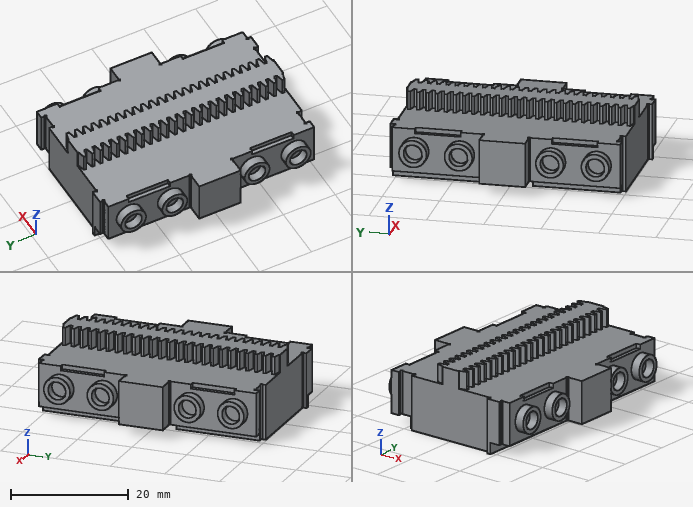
import cadquery as cq

LOWER_PLATE_HEIGHT = 2.1
BODY_HEIGHT = 7.85
RACK_HEIGHT = 3.2
BODY_TOP = LOWER_PLATE_HEIGHT + BODY_HEIGHT
TOTAL_HEIGHT = BODY_TOP + RACK_HEIGHT

BODY_WIDTH = 25.6
BODY_LENGTH = 39.75
LOWER_PLATE_WIDTH = 18.4
CROSS_SLOT_WIDTH = 7.7

SIDE_BLOCK_SPAN = 31.8
SIDE_BLOCK_WIDTH = 8.0

COUPLING_OFFSET = 9.8
TAB_WIDTH = 2.65
TAB_DEPTH = 0.7
SOCKET_WIDTH = 2.8
SOCKET_DEPTH = 0.8
RELIEF_RADIUS = 0.2

STUD_DIAMETER = 4.8
STUD_BORE = 3.2
STUD_LENGTH = 1.7
STUD_PITCH = 7.95
STUD_STEPS = (-2, -1, 1, 2)
STUD_Z = BODY_TOP - BODY_HEIGHT / 2

EDGE_NOTCH_SIZE = 0.8
EDGE_NOTCH_Y = 1.5 * STUD_PITCH

TOOTH_COUNT = 25
TOOTH_PITCH = 1.595
TOOTH_TIP_WIDTH = 0.47
TOOTH_ROOT_WIDTH = TOOTH_PITCH - TOOTH_TIP_WIDTH
RACK_TIP_X = 3.15
RACK_ROOT_X = 1.75

SIDES = (-1, 1)


def block(x_range, y_range, z_range):
    """Axis-aligned block between the given limits."""
    size = [high - low for low, high in (x_range, y_range, z_range)]
    corner = (x_range[0], y_range[0], z_range[0])
    return cq.Workplane("XY").box(*size, centered=False).translate(corner)


def centred_block(width, length, z_low, z_high, center=(0, 0)):
    """Block centred on a point in X and Y, between two heights."""
    height = z_high - z_low
    plane = cq.Workplane("XY").workplane(offset=z_low)
    return plane.center(*center).rect(width, length).extrude(height)


def corner_reliefs(points):
    """Full-height round cutters that relieve inside corners."""
    return cq.Workplane("XY").pushPoints(points).circle(RELIEF_RADIUS).extrude(BODY_TOP)


def make_body():
    """Rectangular body with a block on the middle of each long side."""
    core = centred_block(BODY_WIDTH, BODY_LENGTH, 0, BODY_TOP)
    side_blocks = centred_block(SIDE_BLOCK_SPAN, SIDE_BLOCK_WIDTH, 0, BODY_TOP)
    corners = [
        (x_side * BODY_WIDTH / 2, y_side * SIDE_BLOCK_WIDTH / 2)
        for x_side in SIDES
        for y_side in SIDES
    ]
    return core.union(side_blocks).cut(corner_reliefs(corners))


def add_couplings(body):
    """A tab and a socket on each end, placed point-symmetrically."""
    for end in SIDES:
        end_y = end * BODY_LENGTH / 2

        tab_x = -end * COUPLING_OFFSET
        tab = centred_block(TAB_WIDTH, 2 * TAB_DEPTH, 0, BODY_TOP, (tab_x, end_y))
        tab_corners = [(tab_x + side * TAB_WIDTH / 2, end_y) for side in SIDES]

        socket_x = end * COUPLING_OFFSET
        socket = centred_block(SOCKET_WIDTH, 2 * SOCKET_DEPTH, 0, BODY_TOP, (socket_x, end_y))
        socket_floor_y = end_y - end * SOCKET_DEPTH
        socket_corners = [(socket_x + side * SOCKET_WIDTH / 2, socket_floor_y) for side in SIDES]

        body = body.union(tab).cut(socket).cut(corner_reliefs(tab_corners + socket_corners))
    return body


def trim_lower_plate(body):
    """Narrow the body below its main height and open the slot across X."""
    half_span = SIDE_BLOCK_SPAN / 2
    half_length = BODY_LENGTH / 2 + TAB_DEPTH
    for side in SIDES:
        x_range = sorted((side * LOWER_PLATE_WIDTH / 2, side * half_span))
        body = body.cut(block(x_range, (-half_length, half_length), (0, LOWER_PLATE_HEIGHT)))
    return body.cut(centred_block(SIDE_BLOCK_SPAN, CROSS_SLOT_WIDTH, 0, LOWER_PLATE_HEIGHT))


def add_studs(body):
    """Four tubular studs on each long side, bored down to the body's face."""
    stud_positions = [(steps * STUD_PITCH, STUD_Z) for steps in STUD_STEPS]
    for side in SIDES:
        face = cq.Workplane("YZ").workplane(offset=side * BODY_WIDTH / 2).pushPoints(stud_positions)
        studs = face.circle(STUD_DIAMETER / 2).circle(STUD_BORE / 2).extrude(side * STUD_LENGTH)
        body = body.union(studs)
    return body


def cut_edge_notches(body):
    """Two notches in each upper long edge, spanning one stud pitch."""
    notch_width = 2 * EDGE_NOTCH_SIZE
    notch_floor = BODY_TOP - EDGE_NOTCH_SIZE
    for x_side in SIDES:
        for y_side in SIDES:
            center = (x_side * BODY_WIDTH / 2, y_side * EDGE_NOTCH_Y)
            body = body.cut(centred_block(notch_width, STUD_PITCH, notch_floor, BODY_TOP, center))
    return body


def make_rack():
    """Straight bar with trapezoidal teeth on both sides."""
    rack = centred_block(2 * RACK_ROOT_X, BODY_LENGTH, BODY_TOP, TOTAL_HEIGHT)
    for index in range(TOOTH_COUNT):
        tooth_y = (index - (TOOTH_COUNT - 1) / 2) * TOOTH_PITCH
        root_low = tooth_y - TOOTH_ROOT_WIDTH / 2
        root_high = tooth_y + TOOTH_ROOT_WIDTH / 2
        tip_low = tooth_y - TOOTH_TIP_WIDTH / 2
        tip_high = tooth_y + TOOTH_TIP_WIDTH / 2
        outline = [
            (RACK_ROOT_X, root_low),
            (RACK_TIP_X, tip_low),
            (RACK_TIP_X, tip_high),
            (RACK_ROOT_X, root_high),
            (-RACK_ROOT_X, root_high),
            (-RACK_TIP_X, tip_high),
            (-RACK_TIP_X, tip_low),
            (-RACK_ROOT_X, root_low),
        ]
        plane = cq.Workplane("XY").workplane(offset=BODY_TOP)
        rack = rack.union(plane.polyline(outline).close().extrude(RACK_HEIGHT))
    return rack


part = add_couplings(make_body())
part = trim_lower_plate(part)
part = cut_edge_notches(part)
part = add_studs(part)
result = part.union(make_rack())